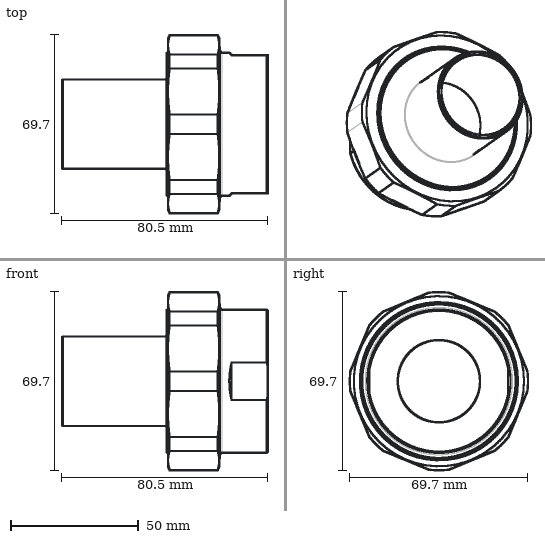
import cadquery as cq
import math

LENGTH = 80.5
BORE_DIA = 32.0

PIPE_DIA = 35.0
PIPE_EDGE = 0.4
BORE_EDGE = 0.2
FLANGE_X = 40.8
FLANGE_DIA = 56.0
FLANGE_EDGE = 0.4
ROOT_FILLET = 0.3
COLLAR_X = 45.1
JOINT_X = 48.3
COLLAR_DIA = 60.0

NUT_X = 41.4
NUT_END_X = 61.6
NUT_CORNER_DIA = 69.7
NUT_ACROSS_FLATS = 67.0
NUT_SIDES = 8
NUT_FACE_DIA = 66.5
NUT_BEVEL = 0.7
LIP_DIA = 56.5
NUT_BORE_DIA = 60.4
MOUTH_DIA = 61.8
LIP_CHAMFER = 0.6

HOUSING_DIA = 56.0
COLLAR_END_X = 61.8
STEP_FILLET = 0.8
HOUSING_EDGE = 0.5
WRENCH_X = 66.3
WRENCH_ACROSS_FLATS = 54.1


def revolve_about_x(outline):
    """Turn a closed (x, radius) outline around the X axis."""
    return outline.close().revolve(360, (0, 0, 0), (1, 0, 0))


def make_tail():
    bore_r = BORE_DIA / 2
    pipe_r = PIPE_DIA / 2
    flange_r = FLANGE_DIA / 2
    collar_r = COLLAR_DIA / 2
    fillet_mid = ROOT_FILLET * (1 - math.sqrt(0.5))
    outline = (
        cq.Workplane("XY")
        .moveTo(BORE_EDGE, bore_r)
        .lineTo(0, bore_r + BORE_EDGE)
        .lineTo(0, pipe_r - PIPE_EDGE)
        .lineTo(PIPE_EDGE, pipe_r)
        .lineTo(FLANGE_X - ROOT_FILLET, pipe_r)
        .threePointArc((FLANGE_X - fillet_mid, pipe_r + fillet_mid), (FLANGE_X, pipe_r + ROOT_FILLET))
        .lineTo(FLANGE_X, flange_r - FLANGE_EDGE)
        .lineTo(FLANGE_X + FLANGE_EDGE, flange_r)
        .lineTo(COLLAR_X, flange_r)
        .lineTo(COLLAR_X, collar_r)
        .lineTo(JOINT_X, collar_r)
        .lineTo(JOINT_X, bore_r)
    )
    return revolve_about_x(outline)


def make_nut():
    nut_length = NUT_END_X - NUT_X
    corner_r = NUT_CORNER_DIA / 2
    face_r = NUT_FACE_DIA / 2
    lip_r = LIP_DIA / 2
    bore_r = NUT_BORE_DIA / 2
    mouth_r = MOUTH_DIA / 2
    mouth_chamfer = mouth_r - bore_r
    blank = revolve_about_x(
        cq.Workplane("XY")
        .moveTo(NUT_X, lip_r + LIP_CHAMFER)
        .lineTo(NUT_X, face_r)
        .lineTo(NUT_X + NUT_BEVEL, corner_r)
        .lineTo(NUT_END_X - NUT_BEVEL, corner_r)
        .lineTo(NUT_END_X, face_r)
        .lineTo(NUT_END_X, mouth_r)
        .lineTo(NUT_END_X - mouth_chamfer, bore_r)
        .lineTo(COLLAR_X, bore_r)
        .lineTo(COLLAR_X, lip_r)
        .lineTo(NUT_X + LIP_CHAMFER, lip_r)
    )
    sharp_corner_dia = NUT_ACROSS_FLATS / math.cos(math.pi / NUT_SIDES)
    octagon = (
        cq.Workplane("YZ", origin=(NUT_X, 0, 0))
        .polygon(NUT_SIDES, sharp_corner_dia)
        .extrude(nut_length)
    )
    return blank.intersect(octagon).solids()


def make_wrench_cut(side):
    """Stock removed for one wrench flat, with a 45 degree run-out; side is +1 or -1 along Y."""
    flat_y = WRENCH_ACROSS_FLATS / 2
    depth = COLLAR_DIA / 2 - flat_y
    return (
        cq.Workplane("XY", origin=(0, 0, -HOUSING_DIA / 2))
        .moveTo(WRENCH_X, side * flat_y)
        .lineTo(LENGTH, side * flat_y)
        .lineTo(LENGTH, side * (flat_y + depth))
        .lineTo(WRENCH_X - depth, side * (flat_y + depth))
        .close()
        .extrude(HOUSING_DIA)
    )


def make_housing():
    bore_r = BORE_DIA / 2
    collar_r = COLLAR_DIA / 2
    barrel_r = HOUSING_DIA / 2
    fillet_mid = STEP_FILLET * (1 - math.sqrt(0.5))
    housing = revolve_about_x(
        cq.Workplane("XY")
        .moveTo(JOINT_X, bore_r)
        .lineTo(JOINT_X, collar_r)
        .lineTo(COLLAR_END_X, collar_r)
        .lineTo(COLLAR_END_X, barrel_r + STEP_FILLET)
        .threePointArc(
            (COLLAR_END_X + fillet_mid, barrel_r + fillet_mid),
            (COLLAR_END_X + STEP_FILLET, barrel_r),
        )
        .lineTo(LENGTH - HOUSING_EDGE, barrel_r)
        .lineTo(LENGTH, barrel_r - HOUSING_EDGE)
        .lineTo(LENGTH, bore_r)
    )
    for side in (-1, 1):
        housing = housing.cut(make_wrench_cut(side))
    return housing.solids()


tail = make_tail()
nut = make_nut()
housing = make_housing()

result = cq.Compound.makeCompound([tail.val(), nut.val(), housing.val()])